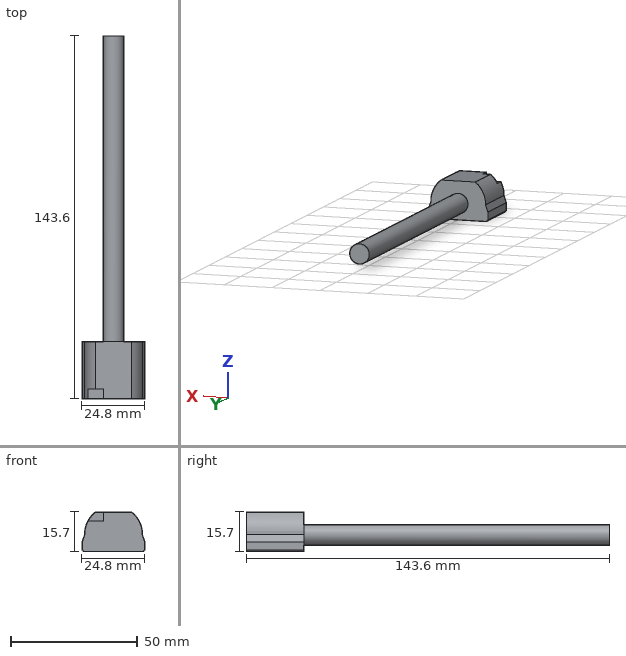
import cadquery as cq
import math

total_length = 143.6
head_width = 24.8
head_height = 15.7
head_length = 22.7

base_chamfer = 0.7
skirt_top = 3.9
shoulder_top = 6.7
side_top = 8.0
shoulder_inset = 1.0
top_width = 14.4
flank_bulge = 0.9

notch_inner_x = -4.0
notch_depth = 3.5
notch_length = 4.0

rod_diameter = 8.2
rod_axis_z = 6.6
rod_length = total_length - head_length


def flank_midpoint(start, end):
    """Point on the right flank arc, outward from the middle of its chord."""
    run = end[0] - start[0]
    rise = end[1] - start[1]
    chord = math.hypot(run, rise)
    return (
        (start[0] + end[0]) / 2 + flank_bulge * rise / chord,
        (start[1] + end[1]) / 2 - flank_bulge * run / chord,
    )


def mirrored(point):
    return (-point[0], point[1])


def make_head():
    """Prism with rounded flanks, running along +Y from its front face at y = 0."""
    base = (head_width / 2 - base_chamfer, 0)
    skirt_start = (head_width / 2, base_chamfer)
    skirt_end = (head_width / 2, skirt_top)
    shoulder = (head_width / 2 - shoulder_inset, shoulder_top)
    flank_start = (head_width / 2 - shoulder_inset, side_top)
    flank_end = (top_width / 2, head_height)
    flank_mid = flank_midpoint(flank_start, flank_end)

    body = (
        cq.Workplane("XZ")
        .moveTo(*base)
        .lineTo(*skirt_start)
        .lineTo(*skirt_end)
        .lineTo(*shoulder)
        .lineTo(*flank_start)
        .threePointArc(flank_mid, flank_end)
        .lineTo(*mirrored(flank_end))
        .threePointArc(mirrored(flank_mid), mirrored(flank_start))
        .lineTo(*mirrored(shoulder))
        .lineTo(*mirrored(skirt_end))
        .lineTo(*mirrored(skirt_start))
        .lineTo(*mirrored(base))
        .close()
        .extrude(-head_length)
    )
    return body.cut(make_notch())


def make_notch():
    """Block that opens the front, top and left side of the head."""
    return cq.Workplane("XY").box(
        head_width / 2 + notch_inner_x, notch_length, notch_depth, centered=False
    ).translate((-head_width / 2, 0, head_height - notch_depth))


def make_rod():
    """Straight round rod that butts against the back face of the head."""
    return (
        cq.Workplane("XZ", origin=(0, head_length, rod_axis_z))
        .circle(rod_diameter / 2)
        .extrude(-rod_length)
    )


head = make_head()
rod = make_rod()

result = cq.Compound.makeCompound([head.val(), rod.val()])